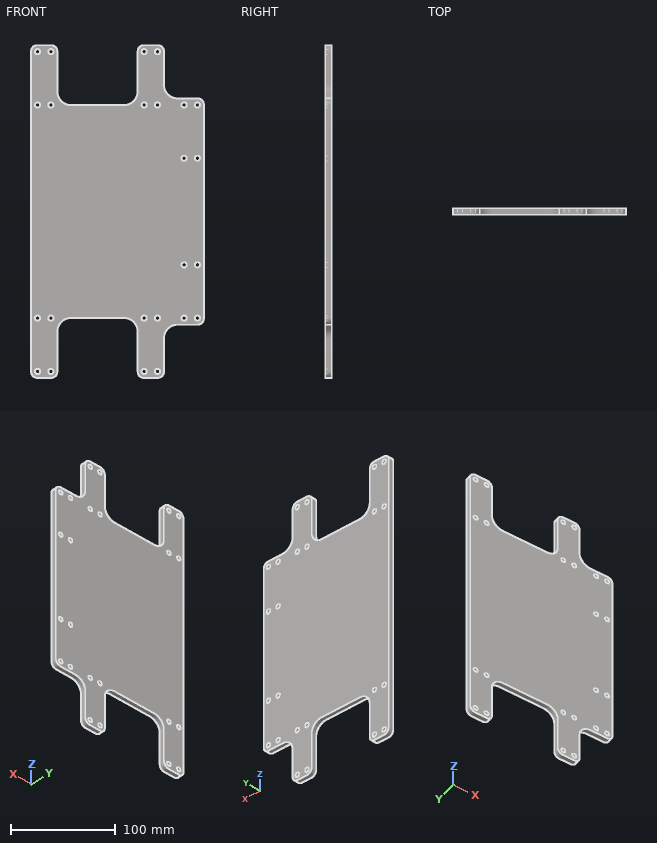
import cadquery as cq

pitch = 12.7
width = 13 * pitch
height = 25 * pitch
thickness = pitch / 2
hole_diameter = 4.8
outer_radius = pitch / 2
inner_radius = pitch

leg_width = 2 * pitch
right_leg_left = 8 * pitch
right_leg_right = right_leg_left + leg_width
shoulder_depth = 4 * pitch
notch_depth = 4.5 * pitch

edge_inset = pitch / 2
left_leg_columns = [edge_inset, edge_inset + pitch]
right_leg_columns = [right_leg_left + edge_inset, right_leg_right - edge_inset]
side_columns = [width - edge_inset - pitch, width - edge_inset]
leg_end_row = height / 2 - edge_inset
leg_root_row = leg_end_row - 4 * pitch
side_inner_row = leg_root_row - 4 * pitch


def plate_blank():
    return cq.Workplane("XY").box(width, thickness, height, centered=(False, True, True))


def end_cut(left, right, depth, end):
    """Block removed from the top (end = 1) or bottom (end = -1) edge."""
    block = cq.Workplane("XY").box(right - left, thickness, depth)
    return block.translate(((left + right) / 2, 0, end * (height - depth) / 2))


def round_corners(plate, corners, radius):
    """Round the through-thickness edges at the given (x, z) corners."""
    reach = pitch / 10
    for x, z in corners:
        selector = cq.selectors.BoxSelector(
            (x - reach, -thickness, z - reach), (x + reach, thickness, z + reach)
        )
        plate = plate.edges("|Y").edges(selector).fillet(radius)
    return plate


def holes():
    leg_columns = left_leg_columns + right_leg_columns
    rows = [
        (leg_end_row, leg_columns),
        (leg_root_row, leg_columns + side_columns),
        (side_inner_row, side_columns),
    ]
    points = [(x, end * z) for z, columns in rows for x in columns for end in (1, -1)]
    return (
        cq.Workplane("XZ")
        .pushPoints(points)
        .circle(hole_diameter / 2)
        .extrude(thickness, both=True)
    )


plate = plate_blank()
for end in (1, -1):
    plate = plate.cut(end_cut(leg_width, right_leg_left, notch_depth, end))
    plate = plate.cut(end_cut(right_leg_right, width, shoulder_depth, end))

for end in (1, -1):
    end_z = end * height / 2
    notch_z = end * (height / 2 - notch_depth)
    shoulder_z = end * (height / 2 - shoulder_depth)
    leg_sides = [0, leg_width, right_leg_left, right_leg_right]
    outer_corners = [(x, end_z) for x in leg_sides] + [(width, shoulder_z)]
    inner_corners = [(leg_width, notch_z), (right_leg_left, notch_z), (right_leg_right, shoulder_z)]
    plate = round_corners(plate, outer_corners, outer_radius)
    plate = round_corners(plate, inner_corners, inner_radius)

result = plate.cut(holes())